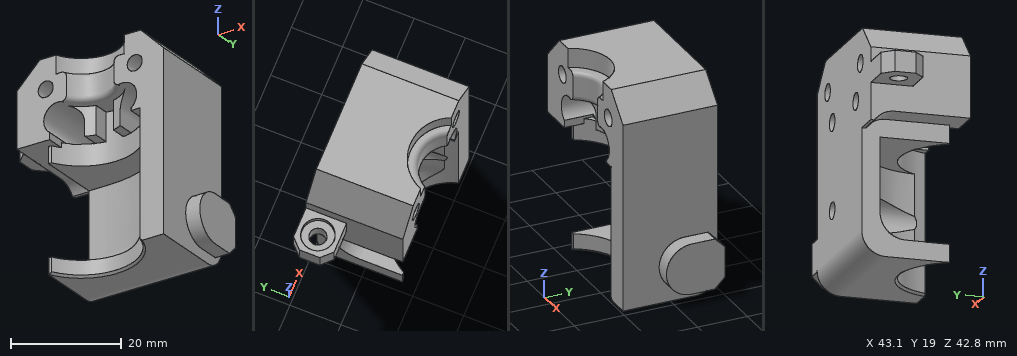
import cadquery as cq

HALF_WIDTH = 16.0
DEPTH = 19.02
HEIGHT = 42.8
TOP_CHAMFER = 5.0

DUCT_FACE_X = -10.6
DUCT_FRONT_Y = 2.3
DUCT_WALL = 3.47
DUCT_TOP_Z = 22.55
DUCT_BOTTOM_RADIUS = 4.9
DUCT_BEND_X = -7.0
DUCT_BEND_MIDDLE = (7.0, 10.0)
DUCT_END_X = 10.0
BLOCK_BOTTOM_Z = 26.0
OUTER_RADIUS = 4.5
BLOCK_REAR_BOTTOM_Z = 24.0

AXIS_Y = -3.0
MAIN_RADIUS = 11.25
MAIN_TOP_Z = 27.0
MAIN_CHAMFER = 0.45
MOUTH_RADIUS = 8.0
NECK_RADIUS = 6.0
NECK_BOTTOM_Z = 33.0
NECK_TOP_Z = 38.95
NECK_FILLET = 1.0
KEYWAY_WIDTH = 3.75

HOLE_DIAMETER = 3.25
HEAD_DIAMETER = 6.25
HEAD_FLOOR_Y = DEPTH - DUCT_WALL
PLAIN_HOLES = [(-9.7, 36.45), (9.7, 36.45)]
LOWER_SCREW = (7.0, 13.3)
UPPER_SCREW_X = 7.0
UPPER_SCREW_Z = 30.0
RELIEF_WIDTH = 5.0
RELIEF_DEPTH = 5.8
RELIEF_INNER_X = UPPER_SCREW_X - HEAD_DIAMETER / 2
RELIEF_OUTER_X = RELIEF_INNER_X + RELIEF_WIDTH

TAB_LENGTH = 8.0
TAB_WIDTH = 8.0
TAB_BOTTOM_Z = 31.05
TAB_THICKNESS = 4.0
TAB_CHAMFER = 2.0
TAB_HEAD_DEPTH = 1.0

PAD_THICKNESS = 3.09
PAD_RADIUS = 5.1
PAD_CENTER_Y = 12.35
PAD_CENTER_Z = 7.33
PAD_CHAMFER = 2.0


def box(x0, x1, y0, y1, z0, z1):
    """Axis-aligned box between the given limits."""
    return cq.Workplane("XY").box(x1 - x0, y1 - y0, z1 - z0, centered=False).translate((x0, y0, z0))


def rod(x, z, diameter, depth):
    """Cylinder running from the split face into the part along +Y."""
    return cq.Workplane("XZ").center(x, z).circle(diameter / 2).extrude(-depth)


def make_block():
    """Block with chamfered upper corners, stepped in on the left below the upper block."""
    block = box(-HALF_WIDTH, HALF_WIDTH, 0, DEPTH, 0, HEIGHT)
    block = block.edges("|Y and >Z").chamfer(TOP_CHAMFER)
    step = box(-HALF_WIDTH, DUCT_FACE_X, 0, DEPTH, 0, BLOCK_BOTTOM_Z)
    rear_lip = box(-HALF_WIDTH, DUCT_FACE_X, 0, DEPTH, BLOCK_REAR_BOTTOM_Z, BLOCK_BOTTOM_Z)
    rounded_step = step.edges("|X and >Y and >Z").fillet(OUTER_RADIUS)
    block = block.cut(step).union(rear_lip.cut(rounded_step))
    return block.edges("|X and >Y and <Z").fillet(OUTER_RADIUS)


def make_duct():
    """Cavity from the open left side that curves round into the main bore."""
    back_y = DEPTH - DUCT_WALL
    duct = (
        cq.Workplane("XY", origin=(0, 0, DUCT_WALL))
        .moveTo(-HALF_WIDTH, 0)
        .lineTo(-HALF_WIDTH, back_y)
        .lineTo(DUCT_BEND_X, back_y)
        .spline([DUCT_BEND_MIDDLE, (DUCT_END_X, 0)], tangents=[(1, 0), (0, -1)], includeCurrent=True)
        .close()
        .extrude(DUCT_TOP_Z - DUCT_WALL)
    )
    return duct.faces("<Z").edges("not <Y").edges("not <X").fillet(DUCT_BOTTOM_RADIUS)


def bore_step(radius, z0, z1):
    """Cylinder on the bore axis between two heights."""
    return cq.Workplane("XY", origin=(0, AXIS_Y, z0)).circle(radius).extrude(z1 - z0)


def make_main_bore():
    """Wide lower bore with its bottom chamfer and the flat opening beside it on the duct side."""
    bore = bore_step(MAIN_RADIUS, 0, MAIN_TOP_Z)
    left_of_relief = box(-HALF_WIDTH, -RELIEF_OUTER_X, 0, DEPTH, BLOCK_BOTTOM_Z, MAIN_TOP_Z)
    bore = bore.cut(left_of_relief)
    flare = cq.Workplane("XY", origin=(0, AXIS_Y, 0)).circle(MAIN_RADIUS + MAIN_CHAMFER)
    flare = flare.workplane(offset=MAIN_CHAMFER).circle(MAIN_RADIUS).loft()
    opening = box(-HALF_WIDTH, -RELIEF_OUTER_X, 0, DUCT_FRONT_Y, 0, BLOCK_BOTTOM_Z)
    return bore.union(flare).union(opening)


def make_neck_bore():
    """Upper bore: a mouth, a narrower neck with rounded rims, a wider throat and a central keyway."""
    mouth = bore_step(MOUTH_RADIUS, NECK_TOP_Z, HEIGHT)
    throat = bore_step(MOUTH_RADIUS, MAIN_TOP_Z, NECK_BOTTOM_Z)
    keyway = bore_step(MAIN_RADIUS, MAIN_TOP_Z, NECK_BOTTOM_Z).intersect(
        box(-KEYWAY_WIDTH / 2, KEYWAY_WIDTH / 2, 0, DEPTH, MAIN_TOP_Z, NECK_BOTTOM_Z)
    )
    rim_radius = NECK_RADIUS + NECK_FILLET
    neck = (
        cq.Workplane("XZ", origin=(0, AXIS_Y, 0))
        .moveTo(0, NECK_BOTTOM_Z)
        .lineTo(rim_radius, NECK_BOTTOM_Z)
        .radiusArc((NECK_RADIUS, NECK_BOTTOM_Z + NECK_FILLET), NECK_FILLET)
        .lineTo(NECK_RADIUS, NECK_TOP_Z - NECK_FILLET)
        .radiusArc((rim_radius, NECK_TOP_Z), NECK_FILLET)
        .lineTo(0, NECK_TOP_Z)
        .close()
        .revolve(360, (0, 0), (0, 1))
    )
    return mouth.union(throat).union(keyway).union(neck)


def make_head_relief(side):
    """Clearance under an upper screw head: deep on the inner half, shallow on the outer half."""
    inner = box(RELIEF_INNER_X, UPPER_SCREW_X, 0, HEAD_FLOOR_Y, MAIN_TOP_Z, UPPER_SCREW_Z)
    outer = box(UPPER_SCREW_X, RELIEF_OUTER_X, 0, RELIEF_DEPTH, MAIN_TOP_Z, UPPER_SCREW_Z)
    relief = inner.union(outer)
    return relief if side > 0 else relief.mirror("YZ")


def make_screw_holes():
    """Two plain through holes and three counterbored ones, all along Y."""
    upper_screws = [(side * UPPER_SCREW_X, UPPER_SCREW_Z) for side in (-1, 1)]
    counterbored = upper_screws + [LOWER_SCREW]
    holes = cq.Workplane("XY")
    for x, z in PLAIN_HOLES + counterbored:
        holes = holes.union(rod(x, z, HOLE_DIAMETER, DEPTH))
    for x, z in counterbored:
        holes = holes.union(rod(x, z, HEAD_DIAMETER, HEAD_FLOOR_Y))
    for side in (-1, 1):
        holes = holes.union(make_head_relief(side))
    return holes


def make_tab():
    """Left mounting tab with chamfered corners and a shallow counterbored vertical hole."""
    tab_end_x = -HALF_WIDTH - TAB_LENGTH
    tab_top_z = TAB_BOTTOM_Z + TAB_THICKNESS
    tab = box(tab_end_x, -HALF_WIDTH, DEPTH - TAB_WIDTH, DEPTH, TAB_BOTTOM_Z, tab_top_z)
    tab = tab.edges("|Z and <X").chamfer(TAB_CHAMFER)
    hole_center = (tab_end_x + TAB_LENGTH / 2, DEPTH - TAB_WIDTH / 2, tab_top_z)
    hole_top = cq.Workplane("XY", origin=hole_center)
    screw_hole = hole_top.circle(HOLE_DIAMETER / 2).extrude(-TAB_THICKNESS)
    head_recess = hole_top.circle(HEAD_DIAMETER / 2).extrude(-TAB_HEAD_DEPTH)
    return tab.cut(screw_hole).cut(head_recess)


def make_pad():
    """Right pad: rounded toward the split face, chamfered where it meets the back."""
    outer_x = HALF_WIDTH + PAD_THICKNESS
    bottom_z = PAD_CENTER_Z - PAD_RADIUS
    top_z = PAD_CENTER_Z + PAD_RADIUS
    pad = box(HALF_WIDTH, outer_x, PAD_CENTER_Y, DEPTH, bottom_z, top_z)
    pad = pad.edges("|X and >Y").chamfer(PAD_CHAMFER)
    nose = cq.Workplane("YZ", origin=(HALF_WIDTH, PAD_CENTER_Y, PAD_CENTER_Z))
    return pad.union(nose.circle(PAD_RADIUS).extrude(PAD_THICKNESS))


result = (
    make_block()
    .union(make_tab())
    .union(make_pad())
    .cut(make_duct())
    .cut(make_main_bore())
    .cut(make_neck_bore())
    .cut(make_screw_holes())
)